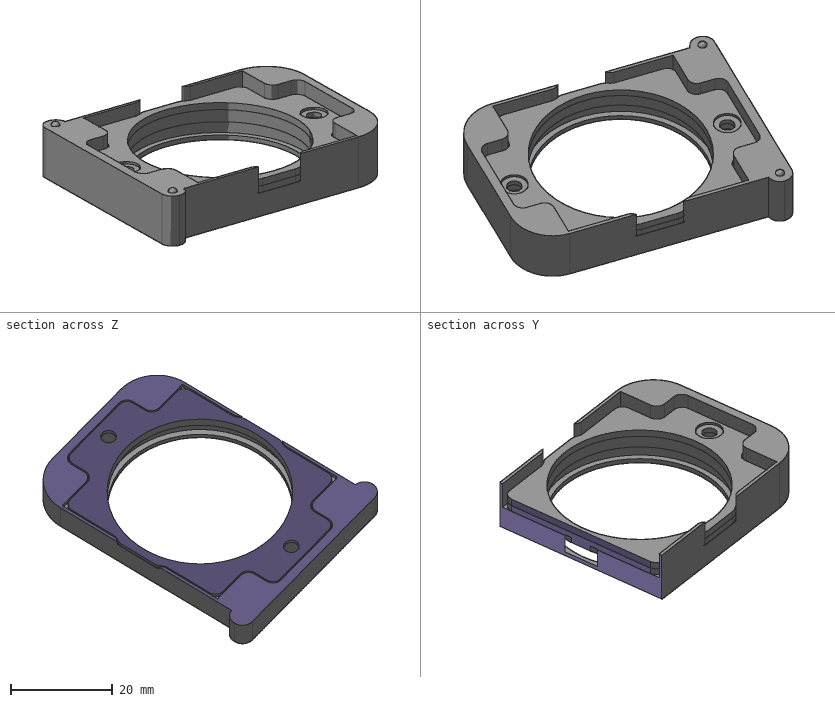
import cadquery as cq

body_width = 40.2
rear_reach = 28.15
front_reach = 28.3
rear_corner_radius = 9.0
overall_width = 44.6
lug_radius = 2.5
lug_length = 5.1
lug_y = lug_length / 2 - front_reach

lip_top = 1.0
collar_bottom = 3.9
pocket_floor = 5.1
plate_joint = 6.5
plate_top = 8.0
front_top = 10.8
rear_top = 11.0
overall_height = 11.45

dome_radius = 0.95
dome_x = 19.85

opening_diameter = 36.5
collar_diameter = 38.5
bore_diameter = 39.0
screw_hole_diameter = 3.0
counterbore_diameter = 5.5
counterbore_depth = 0.5
screw_offset = 22.75
screw_centers = [(0, -screw_offset), (0, screw_offset)]

clearance = 0.15
pocket_width = 38.7
pocket_length = 38.5
tab_width = 19.85
tab_length = 52.5
outline_radius = 2.0
notch_width = 9.25

ear_width = 40.1
ear_root_half = 6.9
ear_flat_half = 3.95


def block(width, length, bottom, top):
    return (
        cq.Workplane("XY")
        .workplane(offset=bottom)
        .rect(width, length)
        .extrude(top - bottom)
    )


def cylinder(diameter, bottom, top, centers=((0, 0),)):
    return (
        cq.Workplane("XY")
        .workplane(offset=bottom)
        .pushPoints(centers)
        .circle(diameter / 2)
        .extrude(top - bottom)
    )


def housing_blank():
    """Block with rounded rear corners and a wider front bar whose round ends form the lugs."""
    body_length = rear_reach - lug_y
    body = block(body_width, body_length, 0, rear_top).translate((0, (rear_reach + lug_y) / 2, 0))
    body = body.edges("|Z and >Y").fillet(rear_corner_radius)
    front_relief = block(body_width, 2 * front_reach, front_top, rear_top).translate((0, -front_reach, 0))
    front_bar = block(overall_width, lug_length, 0, front_top).edges("|Z").fillet(lug_radius)
    return body.cut(front_relief).union(front_bar.translate((0, lug_y, 0)))


def tabbed_block(width, length, tab_span, tab_reach, bottom, top):
    """Rectangular block with a narrower tab on its front and rear sides."""
    return block(width, length, bottom, top).union(block(tab_span, tab_reach, bottom, top))


def is_rounded(edge):
    """True for the upright pocket edges other than its four outer corners."""
    center = edge.Center()
    at_side_wall = abs(abs(center.x) - pocket_width / 2) < clearance
    at_end_wall = abs(abs(center.y) - pocket_length / 2) < clearance
    return not (at_side_wall and at_end_wall)


def make_pocket():
    """Tabbed pocket with square outer corners and a notch through each side wall."""
    pocket = tabbed_block(pocket_width, pocket_length, tab_width, tab_length, pocket_floor, rear_top)
    pocket = pocket.union(block(2 * overall_width, notch_width, pocket_floor, rear_top))
    return pocket.edges("|Z").filter(is_rounded).fillet(outline_radius)


def make_housing():
    housing = housing_blank().cut(make_pocket())
    housing = housing.cut(cylinder(opening_diameter, 0, rear_top))
    housing = housing.cut(cylinder(bore_diameter, lip_top, rear_top))
    housing = housing.cut(cylinder(screw_hole_diameter, 0, rear_top, screw_centers))
    for x in (-dome_x, dome_x):
        dome = cq.Workplane("XY").sphere(dome_radius).translate((x, lug_y, overall_height - dome_radius))
        housing = housing.union(dome)
    return housing


def make_ears(bottom, top):
    """Bar across the plate whose ends blend into the plate sides with tangent S-curves."""
    root_x = pocket_width / 2 - clearance
    face_x = ear_width / 2
    blend_depth = face_x - root_x
    blend_run = ear_root_half - ear_flat_half
    blend_radius = (blend_depth**2 + blend_run**2) / (4 * blend_depth)
    middle_x = (root_x + face_x) / 2
    middle_y = (ear_root_half + ear_flat_half) / 2
    right_half = (
        cq.Workplane("XY")
        .workplane(offset=bottom)
        .moveTo(0, -ear_root_half)
        .lineTo(root_x, -ear_root_half)
        .radiusArc((middle_x, -middle_y), blend_radius)
        .radiusArc((face_x, -ear_flat_half), -blend_radius)
        .lineTo(face_x, ear_flat_half)
        .radiusArc((middle_x, middle_y), -blend_radius)
        .radiusArc((root_x, ear_root_half), blend_radius)
        .lineTo(0, ear_root_half)
        .close()
        .extrude(top - bottom)
    )
    return right_half.union(right_half.mirror("YZ"))


def make_plate(bottom, top):
    """Tabbed plate with rounded corners, side ears, a central opening and two screw holes."""
    plate = tabbed_block(
        pocket_width - 2 * clearance,
        pocket_length - 2 * clearance,
        tab_width - 2 * clearance,
        tab_length - 2 * clearance,
        bottom,
        top,
    )
    plate = plate.edges("|Z").fillet(outline_radius)
    plate = plate.union(make_ears(bottom, top))
    plate = plate.cut(cylinder(opening_diameter, bottom, top))
    return plate.cut(cylinder(screw_hole_diameter, bottom, top, screw_centers))


def make_lower_plate():
    """Plate with a collar hanging down into the housing bore."""
    collar = cylinder(collar_diameter, collar_bottom, plate_joint)
    collar = collar.cut(cylinder(opening_diameter, collar_bottom, plate_joint))
    return make_plate(pocket_floor, plate_joint).union(collar)


def make_upper_plate():
    """Plate with counterbored screw holes."""
    counterbores = cylinder(counterbore_diameter, plate_top - counterbore_depth, plate_top, screw_centers)
    return make_plate(plate_joint, plate_top).cut(counterbores)


housing = make_housing()
lower_plate = make_lower_plate()
upper_plate = make_upper_plate()

result = cq.Compound.makeCompound([housing.val(), lower_plate.val(), upper_plate.val()])